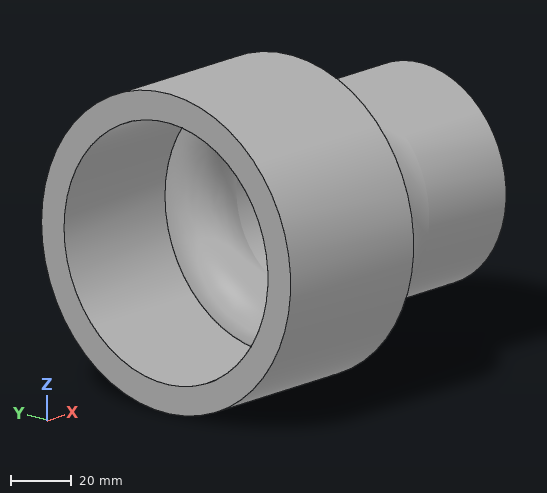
import cadquery as cq
import math

length = 126.0
socket_radius = 110.0 / 2
socket_bore_radius = 90.0 / 2
spigot_radius = 76.0 / 2
spigot_bore_radius = 63.0 / 2
throat_radius = 61.0 / 2
socket_length = 61.0
socket_depth = 50.0
spigot_length = 38.0
seat_width = 0.5
neck_arc_radius = 26.0
flare_arc_radius = 15.0

neck_end = length - spigot_length
seat_radius = socket_bore_radius - seat_width


def neck_arc_middle(start, end, radius):
    """Return the middle point of an arc from start to end that bulges toward the axis."""
    run = end[0] - start[0]
    rise = end[1] - start[1]
    chord = math.hypot(run, rise)
    sagitta = radius - math.sqrt(radius**2 - (chord / 2) ** 2)
    return (
        (start[0] + end[0]) / 2 + sagitta * rise / chord,
        (start[1] + end[1]) / 2 - sagitta * run / chord,
    )


def flare_run(edge_radius):
    """Return the axial distance from the throat to where the flare reaches edge_radius."""
    center_offset = throat_radius + flare_arc_radius - edge_radius
    return math.sqrt(flare_arc_radius**2 - center_offset**2)


neck_start_point = (socket_length, socket_radius)
neck_end_point = (neck_end, spigot_radius)
throat_x = socket_depth + flare_run(seat_radius)
flare_end = throat_x + flare_run(spigot_bore_radius)

profile = (
    cq.Workplane("XY")
    .moveTo(0, socket_bore_radius)
    .lineTo(0, socket_radius)
    .lineTo(*neck_start_point)
    .threePointArc(neck_arc_middle(neck_start_point, neck_end_point, neck_arc_radius), neck_end_point)
    .lineTo(length, spigot_radius)
    .lineTo(length, spigot_bore_radius)
    .lineTo(flare_end, spigot_bore_radius)
    .threePointArc((throat_x, throat_radius), (socket_depth, seat_radius))
    .lineTo(socket_depth, socket_bore_radius)
    .close()
)

result = profile.revolve(360, (0, 0, 0), (1, 0, 0))